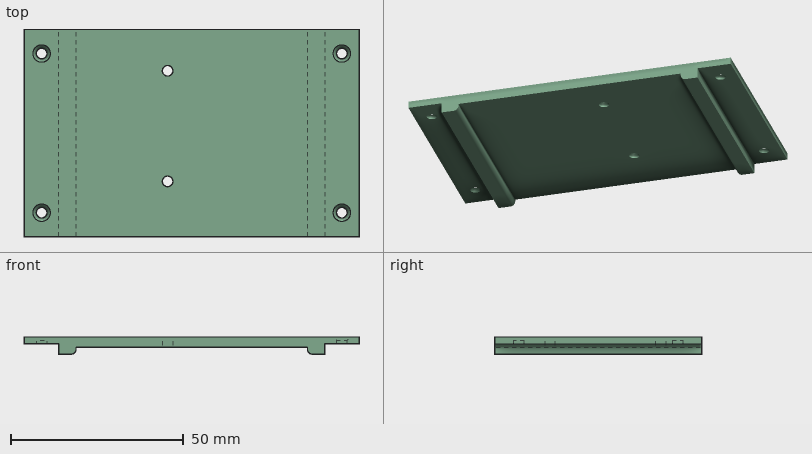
import cadquery as cq

length = 97.0
width = 60.0
height = 5.0

flange_thickness = 2.0
web_thickness = 3.0
flange_length = 10.0
rail_width = 5.0
rail_round = 1.5

hole_diameter = 3.0
countersink_diameter = 5.0
countersink_angle = 90
corner_inset_x = 5.0
corner_inset_y = 7.0
inner_hole_x = -7.0
inner_hole_spacing = 32.0
inner_hole_center_y = 2.0

rail_outer_x = length / 2 - flange_length
rail_inner_x = rail_outer_x - rail_width


def make_slab(size_x, thickness):
    """Full-width slab centred in X and Y, hanging below the top face."""
    return cq.Workplane("XY").box(size_x, width, thickness, centered=(True, True, False)).translate(
        (0, 0, -thickness)
    )


def make_body():
    """Thin plate with a thicker web between two rails rounded on their inner edges."""
    flange = make_slab(length, flange_thickness)
    rails = make_slab(2 * rail_outer_x, height)
    channel_depth = height - web_thickness
    channel = (
        cq.Workplane("XY")
        .box(2 * rail_inner_x, width, channel_depth, centered=(True, True, False))
        .translate((0, 0, -height))
    )
    rails = rails.cut(channel)
    inner_edges = cq.selectors.BoxSelector(
        (-rail_inner_x - rail_round, -width, -height - rail_round),
        (rail_inner_x + rail_round, width, -height + rail_round),
    )
    rails = rails.edges("|Y").edges(inner_edges).fillet(rail_round)
    return flange.union(rails)


def add_corner_holes(body):
    """Countersunk through holes near the four corners."""
    return (
        body.faces(">Z")
        .workplane(origin=(0, 0, 0))
        .rect(length - 2 * corner_inset_x, width - 2 * corner_inset_y, forConstruction=True)
        .vertices()
        .cskHole(hole_diameter, countersink_diameter, countersink_angle)
    )


def add_inner_holes(body):
    """Plain pair of through holes, offset from the plate centre."""
    return (
        body.faces(">Z")
        .workplane(origin=(inner_hole_x, inner_hole_center_y, 0))
        .rarray(1, inner_hole_spacing, 1, 2)
        .hole(hole_diameter)
    )


result = add_inner_holes(add_corner_holes(make_body()))